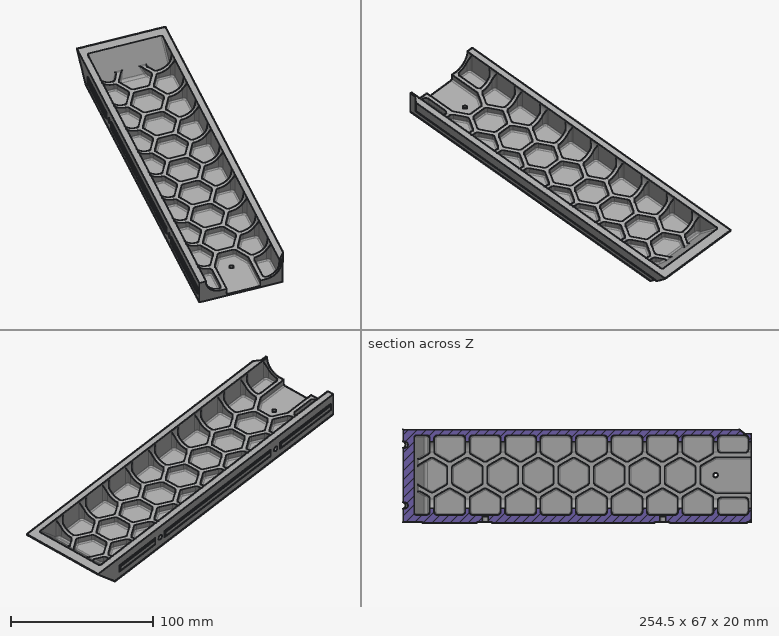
import cadquery as cq
import math

length = 254.5
body_width = 66.2
height = 20.0
nose_edge = 0.8
bottom_chamfer = 1.3

lip_overhang = 3.8
lip_bottom = 11.2
lip_root = 6.4
lip_end_inset = 4.8
lip_end_taper = 4.8

wall = 5.0
floor = 2.8
web_top = 8.0
cove_radius = 11.5
slope_offset = 8.5
slope_blend = 3.5
end_rib = 2.0
cut_clearance = 5.0

cell_flats = 22.0
web = 3.0
cell_corner = 2.5
floor_fillet = 1.0
first_cell_x = 29.8
middle_cells = 8
side_cells = 9

rail_height = 5.5
rail_depth = 0.8
rail_bevel = 0.8
rail_spans = [(22.6, 61.8), (71.5, 186.8), (196.5, 252.0)]
pin_diameter = 3.8
pin_depth = 3.8
pin_z = 10.2
side_pin_x = [67.2, 192.0]
nose_pin_diameter = 4.5
nose_pin_z = 10.0
nose_pin_spread = 42.7
drain_diameter = 3.0

pitch = cell_flats + web
cell_radius = cell_flats / math.sqrt(3)
row_offset = pitch * math.sqrt(3) / 2
centre_y = body_width / 2
nose_slope = math.radians(45)
nose_run = height - nose_edge
cut_top = height + cut_clearance
channel_x = first_cell_x + middle_cells * pitch


def make_body():
    """Bar with a 45 degree nose, bevelled underside and a lip along the rear."""
    side = (
        cq.Workplane("XZ")
        .moveTo(0, height)
        .lineTo(length, height)
        .lineTo(length, bottom_chamfer)
        .lineTo(length - bottom_chamfer, 0)
        .lineTo(nose_run, 0)
        .lineTo(0, nose_run)
        .close()
        .extrude(-body_width)
    )
    core_rear = body_width - lip_overhang
    section = (
        cq.Workplane("YZ")
        .moveTo(bottom_chamfer, 0)
        .lineTo(core_rear - bottom_chamfer, 0)
        .lineTo(core_rear, bottom_chamfer)
        .lineTo(core_rear, lip_root)
        .lineTo(body_width, lip_bottom)
        .lineTo(body_width, height)
        .lineTo(0, height)
        .lineTo(0, bottom_chamfer)
        .close()
        .extrude(length)
    )
    lip_end = length - lip_end_inset
    lip_relief = (
        cq.Workplane("XY")
        .moveTo(lip_end - lip_end_taper, body_width)
        .lineTo(lip_end, core_rear)
        .lineTo(length, core_rear)
        .lineTo(length, body_width)
        .close()
        .extrude(height)
    )
    return side.intersect(section).cut(lip_relief)


def make_nose_space():
    """Space behind the sloping nose wall, blended into the floor."""
    slope_sum = nose_run + slope_offset
    foot_x = slope_sum - floor
    blend_tangent = slope_blend * math.tan(nose_slope / 2)
    blend_start = (
        foot_x - blend_tangent * math.cos(nose_slope),
        floor + blend_tangent * math.sin(nose_slope),
    )
    blend_end = (foot_x + blend_tangent, floor)
    return (
        cq.Workplane("XZ")
        .moveTo(slope_sum - cut_top, cut_top)
        .lineTo(*blend_start)
        .tangentArcPoint(blend_end, relative=False)
        .lineTo(length, floor)
        .lineTo(length, cut_top)
        .close()
        .extrude(-body_width)
    )


def make_tub():
    """Upper hollow with coves along both side walls, filleted against the nose wall."""
    rear = body_width - wall
    trough = (
        cq.Workplane("YZ")
        .moveTo(wall, cut_top)
        .lineTo(wall, web_top + cove_radius)
        .radiusArc((wall + cove_radius, web_top), -cove_radius)
        .lineTo(rear - cove_radius, web_top)
        .radiusArc((rear, web_top + cove_radius), -cove_radius)
        .lineTo(rear, cut_top)
        .close()
        .extrude(length)
    )
    hollow = trough.intersect(nose_space)
    return hollow.faces("<(1, 0, 1)").edges("not >Z").fillet(floor_fillet)


def rounded_prism(outline):
    prism = cq.Workplane("XY", origin=(0, 0, floor)).polyline(outline).close()
    return prism.extrude(cut_top - floor).edges("|Z").fillet(cell_corner)


def make_pocket(outline):
    """Flat-floored pocket with a filleted floor edge."""
    return rounded_prism(outline).faces("<Z").edges().fillet(floor_fillet)


def make_nose_pocket(outline):
    """Pocket bounded by the nose wall, filleted along its floor, blend and slope."""
    pocket = rounded_prism(outline).intersect(nose_space)
    return pocket.edges("not (|Z or |Y or >Z)").fillet(floor_fillet)


def middle_outline(x):
    """Hexagon with its flats facing along X."""
    corners = []
    for i in range(6):
        angle = math.radians(60 * i + 30)
        corners.append((x + cell_radius * math.cos(angle), centre_y + cell_radius * math.sin(angle)))
    return corners


def front_outline(x, start_x):
    """Half hexagon whose straight sides run out to the front wall."""
    flat = cell_flats / 2
    shoulder_y = centre_y - row_offset + cell_radius / 2
    tip_y = shoulder_y + cell_radius / 2
    right = [(x, tip_y), (x + flat, shoulder_y), (x + flat, wall)]
    if start_x < x - flat:
        return right + [(start_x, wall), (start_x, tip_y)]
    return right + [(x - flat, wall), (x - flat, shoulder_y)]


def make_channel():
    """Floor channel that widens a last middle cell out to the open end."""
    flat = cell_flats / 2
    outside = length + pitch
    return make_pocket(
        [
            (channel_x - flat, centre_y - cell_radius / 2),
            (channel_x, centre_y - cell_radius),
            (outside, centre_y - cell_radius),
            (outside, centre_y + cell_radius),
            (channel_x, centre_y + cell_radius),
            (channel_x - flat, centre_y + cell_radius / 2),
        ]
    )


def make_front_end_pocket():
    """Rectangular pocket between the channel and the front wall."""
    start_x = channel_x + web / 2
    end_x = length - end_rib
    far_y = centre_y - cell_radius - web
    return make_pocket([(start_x, wall), (end_x, wall), (end_x, far_y), (start_x, far_y)])


def make_cavity():
    hollow = make_tub().union(make_channel())

    hollow = hollow.union(make_nose_pocket(middle_outline(first_cell_x)))
    for i in range(1, middle_cells):
        hollow = hollow.union(make_pocket(middle_outline(first_cell_x + i * pitch)))

    first_side_x = first_cell_x - pitch / 2
    side_pockets = [make_nose_pocket(front_outline(first_side_x, 0))]
    for i in range(1, side_cells):
        x = first_side_x + i * pitch
        side_pockets.append(make_pocket(front_outline(x, x - cell_flats / 2)))
    side_pockets.append(make_front_end_pocket())
    for pocket in side_pockets:
        hollow = hollow.union(pocket).union(pocket.mirror("XZ", (0, centre_y, 0)))
    return hollow


def make_rail(start, end):
    """Bevelled strip standing off the front face."""
    return (
        cq.Workplane("XZ", origin=((start + end) / 2, 0, pin_z))
        .rect(end - start, rail_height)
        .extrude(rail_depth, taper=math.degrees(math.atan2(rail_bevel, rail_depth)))
    )


def make_pin_hole(diameter, point, direction):
    return cq.Workplane(
        cq.Solid.makeCylinder(diameter / 2, pin_depth, cq.Vector(*point), cq.Vector(*direction))
    )


nose_space = make_nose_space()
result = make_body().cut(make_cavity())
for rail_start, rail_end in rail_spans:
    result = result.union(make_rail(rail_start, rail_end))
for pin_x in side_pin_x:
    result = result.cut(make_pin_hole(pin_diameter, (pin_x, 0, pin_z), (0, 1, 0)))
for side in (-1, 1):
    nose_point = (nose_run - nose_pin_z, centre_y + side * nose_pin_spread / 2, nose_pin_z)
    result = result.cut(make_pin_hole(nose_pin_diameter, nose_point, (1, 0, 1)))

drain = cq.Workplane("XY", origin=(channel_x, centre_y, 0)).circle(drain_diameter / 2).extrude(height)
result = result.cut(drain)